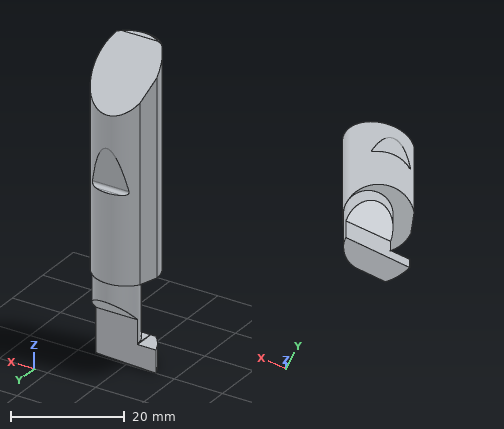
import cadquery as cq
import math

total_length = 63.5
neck_length = 19.05

shank_diameter = 12.7
shank_radius = shank_diameter / 2
shank_flat_edge_y = 3.65
bevel_angle = 45
top_land_edge_y = -4.5
top_chamfer_width = 0.5
top_chamfer_height = 0.22

notch_bottom_z = 37.1
notch_length = 8.9
notch_depth = 1.4
notch_corner_radius = 0.7

neck_radius = 4.35
neck_axis_x = 2.0
neck_run_out_z = 9.6

tip_x = -6.14
head_height = 4.66
head_front_y = -neck_radius
heel_x = -3.45
tip_relief_radius = 11.0
ledge_start_x = neck_axis_x - neck_radius
underside_relief_angle = 2.2
ledge_rise_angle = 3.0

cut_size = 2 * total_length
underside_slope = math.tan(math.radians(underside_relief_angle))
ledge_slope = math.tan(math.radians(ledge_rise_angle))


def side_profile(points):
    """Solid with a (Y, Z) outline that spans the whole part along X."""
    return cq.Workplane("YZ").polyline(points).close().extrude(cut_size / 2, both=True)


def make_shank():
    shank = (
        cq.Workplane("XY")
        .workplane(offset=neck_length)
        .circle(shank_radius)
        .extrude(total_length - neck_length)
        .faces(">Z")
        .chamfer(top_chamfer_height, top_chamfer_width)
    )
    flat_edge_x = -math.sqrt(shank_radius**2 - shank_flat_edge_y**2)
    flat_cutter = (
        cq.Workplane("XY")
        .moveTo(-shank_radius, 0)
        .lineTo(flat_edge_x, shank_flat_edge_y)
        .lineTo(-shank_diameter, shank_flat_edge_y)
        .lineTo(-shank_diameter, 0)
        .close()
        .extrude(total_length)
    )
    bevel_run = shank_diameter
    bevel_drop = bevel_run * math.tan(math.radians(bevel_angle))
    bevel_cutter = side_profile([
        (top_land_edge_y, total_length),
        (top_land_edge_y + bevel_run, total_length - bevel_drop),
        (top_land_edge_y + bevel_run, total_length),
    ])
    return shank.cut(flat_cutter).cut(bevel_cutter).cut(make_notch_cutter())


def make_notch_cutter():
    """Ramped notch whose deep end is a square shoulder with a rounded corner."""
    floor_y = shank_radius - notch_depth
    cutter = side_profile([
        (shank_radius, notch_bottom_z),
        (floor_y, notch_bottom_z),
        (shank_radius, notch_bottom_z + notch_length),
    ])
    return cutter.edges("|X").edges("<Y").fillet(notch_corner_radius)


def make_neck():
    neck = cq.Workplane("XY").center(neck_axis_x, 0).circle(neck_radius).extrude(neck_length)
    run_out_end = shank_diameter
    half_cutter = side_profile([
        (0, 0),
        (0, neck_run_out_z),
        (run_out_end, neck_run_out_z + run_out_end),
        (run_out_end, 0),
    ])
    return neck.cut(half_cutter)


def make_head():
    chord_x = heel_x - tip_x
    chord = math.hypot(chord_x, head_front_y)
    bulge = tip_relief_radius - math.sqrt(tip_relief_radius**2 - (chord / 2) ** 2)
    curve_middle = (
        (tip_x + heel_x) / 2 + bulge * head_front_y / chord,
        head_front_y / 2 - bulge * chord_x / chord,
    )
    head = (
        cq.Workplane("XY")
        .moveTo(tip_x, 0)
        .threePointArc(curve_middle, (heel_x, head_front_y))
        .lineTo(neck_axis_x, head_front_y)
        .lineTo(neck_axis_x, 0)
        .close()
        .extrude(head_height)
    )
    ledge = (
        cq.Workplane("YZ")
        .workplane(offset=ledge_start_x)
        .moveTo(head_front_y, head_height)
        .lineTo(0, head_height)
        .lineTo(0, head_height - head_front_y * ledge_slope)
        .close()
        .extrude(neck_axis_x - ledge_start_x)
    )
    return head.union(ledge)


def make_underside_cutter():
    """Block whose top slopes up from the tip towards +X and -Y."""
    normal = cq.Vector(-underside_slope, underside_slope, 1)
    plane = cq.Plane(origin=(tip_x, 0, 0), normal=normal)
    return cq.Workplane(plane).rect(cut_size, cut_size).extrude(-neck_length)


result = make_shank().union(make_neck()).union(make_head()).cut(make_underside_cutter())